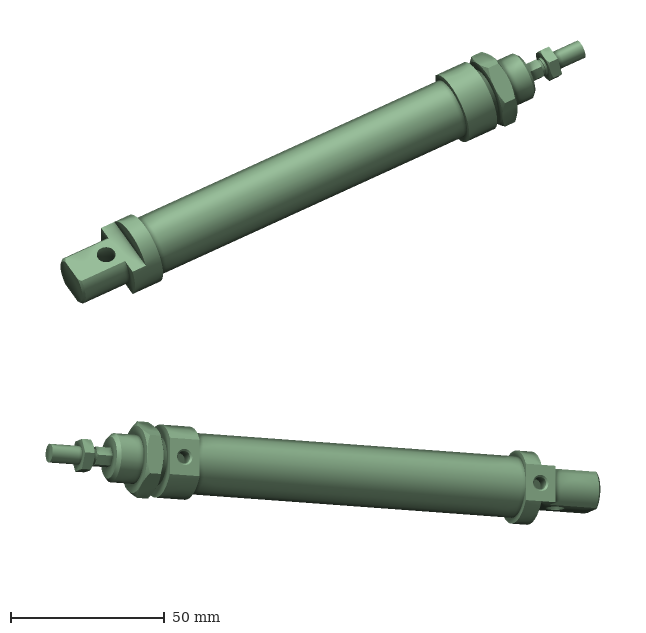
import cadquery as cq
import math

total_length = 191.0

cap_radius = 23.9 / 2
tube_radius = 20.0 / 2
neck_radius = 8.0
eye_thickness = 12.0
rear_cap_y = 17.0
cap_length = 10.5
rear_cap_round_length = 5.5
front_cap_y = 142.3
neck_end_y = 170.0
neck_chamfer = 1.1
eye_chamfer = 0.8
eye_hole_diameter = 6.1
eye_hole_y = 13.0

port_diameter = 4.2
port_mouth_diameter = 5.3
port_depth = 5.2
port_sink_angle = 45.0
rear_port_y = rear_cap_y + cap_length / 2
front_port_y = front_cap_y + cap_length / 2
port_flat_x = -math.sqrt(cap_radius**2 - (eye_thickness / 2) ** 2)

rod_hex_flats = 6.0
rod_hex_end_y = 175.3
groove_radius = 2.7
groove_length = 1.0
thread_radius = 3.0

neck_nut_flats = 22.0
neck_nut_y = 155.3
neck_nut_thickness = 5.7
rod_nut_flats = 10.0
rod_nut_y = 177.0
rod_nut_thickness = 3.6
nut_chamfer_angle = 30.0

hex_corners_sideways = 0.0
hex_corners_upright = 30.0
hex_half_angle = 30.0


def cylinder_along_y(radius, start_y, end_y):
    """Round bar centred on the Y axis."""
    return cq.Workplane("XZ", origin=(0, start_y, 0)).circle(radius).extrude(start_y - end_y)


def hexagon_along_y(across_flats, start_y, end_y, turn):
    """Hexagonal bar on the Y axis, with corners at +X and -X before it is turned."""
    across_corners = across_flats / math.cos(math.radians(hex_half_angle))
    bar = cq.Workplane("XZ", origin=(0, start_y, 0)).polygon(6, across_corners).extrude(start_y - end_y)
    return bar.rotate((0, 0, 0), (0, 1, 0), turn)


def slab(half_width, start_y, end_y):
    """Flat plate of the eye thickness, centred on the Y axis."""
    plate = cq.Workplane("XY").box(2 * half_width, end_y - start_y, eye_thickness)
    return plate.translate((0, (start_y + end_y) / 2, 0))


def cut_port(body, port_y):
    """Countersunk blind hole, drilled in +X from a cap flat."""
    flat = cq.Workplane("YZ", origin=(port_flat_x, port_y, 0))
    sink_width = (port_mouth_diameter - port_diameter) / 2
    sink_depth = sink_width / math.tan(math.radians(port_sink_angle))
    hole = flat.circle(port_diameter / 2).extrude(port_depth)
    sink = flat.circle(port_mouth_diameter / 2).extrude(sink_depth, taper=port_sink_angle)
    return body.cut(hole).cut(sink)


def make_housing():
    rear_cap_end_y = rear_cap_y + cap_length
    front_cap_end_y = front_cap_y + cap_length

    eye = cylinder_along_y(neck_radius, 0, rear_cap_y).faces("<Y").chamfer(eye_chamfer)
    eye = eye.intersect(slab(neck_radius, 0, rear_cap_y))

    rear_round_y = rear_cap_end_y - rear_cap_round_length
    milled_part = cylinder_along_y(cap_radius, rear_cap_y, rear_round_y)
    milled_part = milled_part.intersect(slab(cap_radius, rear_cap_y, rear_round_y))
    rear_cap = cylinder_along_y(cap_radius, rear_round_y, rear_cap_end_y).union(milled_part)

    front_cap = cylinder_along_y(cap_radius, front_cap_y, front_cap_end_y)
    tube = cylinder_along_y(tube_radius, rear_cap_end_y, front_cap_y)
    neck = cylinder_along_y(neck_radius, front_cap_end_y, neck_end_y).faces(">Y").chamfer(neck_chamfer)

    material_past_flat = cq.Workplane("XY").box(
        cap_radius, neck_end_y, 2 * cap_radius, centered=(False, False, True)
    ).translate((port_flat_x - cap_radius, 0, 0))
    housing = eye.union(rear_cap).union(tube).union(front_cap).union(neck).cut(material_past_flat)

    eye_hole = cq.Workplane("XY", origin=(0, eye_hole_y, 0)).circle(eye_hole_diameter / 2)
    housing = housing.cut(eye_hole.extrude(eye_thickness, both=True))
    for port_y in (rear_port_y, front_port_y):
        housing = cut_port(housing, port_y)
    return housing


def make_rod():
    groove_end_y = rod_hex_end_y + groove_length
    hexagon = hexagon_along_y(rod_hex_flats, neck_end_y, rod_hex_end_y, hex_corners_sideways)
    groove = cylinder_along_y(groove_radius, rod_hex_end_y, groove_end_y)
    thread = cylinder_along_y(thread_radius, groove_end_y, total_length)
    return hexagon.union(groove).union(thread)


def make_nut(across_flats, thickness, start_y, bore_radius, turn, chamfer_both_ends):
    """Hexagon nut with corners chamfered on the rear (-Y) side, or on both sides."""
    flat_radius = across_flats / 2
    corner_radius = flat_radius / math.cos(math.radians(hex_half_angle))
    chamfer_width = corner_radius - flat_radius
    chamfer_length = chamfer_width * math.tan(math.radians(nut_chamfer_angle))
    end_y = start_y + thickness
    envelope = cylinder_along_y(corner_radius, start_y, end_y)
    envelope = envelope.faces("|Y" if chamfer_both_ends else "<Y").chamfer(chamfer_length, chamfer_width)
    nut = hexagon_along_y(across_flats, start_y, end_y, turn).intersect(envelope)
    return nut.cut(cylinder_along_y(bore_radius, start_y, end_y))


housing = make_housing()
rod = make_rod()
neck_nut = make_nut(neck_nut_flats, neck_nut_thickness, neck_nut_y, neck_radius, hex_corners_upright, True)
rod_nut = make_nut(rod_nut_flats, rod_nut_thickness, rod_nut_y, thread_radius, hex_corners_sideways, False)

result = cq.Compound.makeCompound([housing.val(), rod.val(), neck_nut.val(), rod_nut.val()])